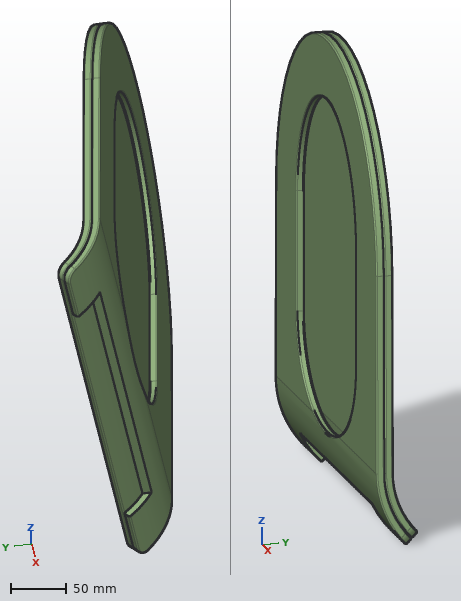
import cadquery as cq
import math


CROWN_RADIUS = 177.5
CROWN_TOP = 360.0
SIDE_TILT = math.radians(0.5)
CORNER_RADIUS = 10.7

TOTAL_THICKNESS = 15.5
GAP = 0.5
PLATE = (TOTAL_THICKNESS - GAP) / 2
EDGE_FILLET = 1.5

BEND_RADIUS = 96.5
BEND_ANGLE = math.radians(46.1)

OPENING_HALF_WIDTH = 105.0
OPENING_TOP = 303.5
OPENING_CROWN_HEIGHT = 112.5
OPENING_BOTTOM = -7.5
OPENING_BASE_HEIGHT = 86.0

NOTCH_WIDTH = 255.0
NOTCH_TOP = -41.5

CLEARANCE = 21.5
SAME_PLACE = 4.29e-06
RIM_MIN_LENGTH = 1.1 * PLATE


def bend_point(depth, angle):
    """(Y, Z) of a point on the bend, at a depth behind the seat front."""
    radius = BEND_RADIUS - depth
    return (BEND_RADIUS - radius * math.cos(angle), -radius * math.sin(angle))


def bent_sheet(front, back):
    """Wide sheet between two depths: flat above the bend, radial at its end."""
    half_width = CROWN_RADIUS + CLEARANCE
    return (
        cq.Workplane("YZ", origin=(-half_width, 0, 0))
        .moveTo(front, CROWN_TOP + CLEARANCE)
        .lineTo(front, 0)
        .threePointArc(bend_point(front, BEND_ANGLE / 2), bend_point(front, BEND_ANGLE))
        .lineTo(*bend_point(back, BEND_ANGLE))
        .threePointArc(bend_point(back, BEND_ANGLE / 2), (back, 0))
        .lineTo(back, CROWN_TOP + CLEARANCE)
        .close()
        .extrude(2 * half_width)
    )


def outline_prism():
    """Round-topped outline, with sides tangent to the crown, extended along Y."""
    center_z = CROWN_TOP - CROWN_RADIUS
    bottom = -BEND_RADIUS
    tangent_x = CROWN_RADIUS * math.cos(SIDE_TILT)
    tangent_z = center_z + CROWN_RADIUS * math.sin(SIDE_TILT)
    bottom_x = tangent_x + (tangent_z - bottom) * math.tan(SIDE_TILT)
    return (
        cq.Workplane("XZ", origin=(0, -CLEARANCE, 0))
        .moveTo(-bottom_x, bottom)
        .lineTo(-tangent_x, tangent_z)
        .threePointArc((0, CROWN_TOP), (tangent_x, tangent_z))
        .lineTo(bottom_x, bottom)
        .close()
        .extrude(-(BEND_RADIUS + CLEARANCE))
    )


def opening_cutter(depth):
    """Oval made of two half ellipses joined by straight sides."""
    crown_z = OPENING_TOP - OPENING_CROWN_HEIGHT
    base_z = OPENING_BOTTOM + OPENING_BASE_HEIGHT
    length = depth + 2 * CLEARANCE

    def oval_end(z, height):
        return (
            cq.Workplane("XZ", origin=(0, -CLEARANCE, z))
            .ellipse(OPENING_HALF_WIDTH, height)
            .extrude(-length)
        )

    def slab(low, high):
        return (
            cq.Workplane("XZ", origin=(0, -CLEARANCE, (low + high) / 2))
            .rect(2 * OPENING_HALF_WIDTH, high - low)
            .extrude(-length)
        )

    crown = oval_end(crown_z, OPENING_CROWN_HEIGHT).intersect(slab(crown_z, OPENING_TOP))
    base = oval_end(base_z, OPENING_BASE_HEIGHT).intersect(slab(OPENING_BOTTOM, base_z))
    return crown.union(slab(base_z, crown_z)).union(base)


def round_corners(plate):
    """Round the two corners at the bent end."""
    corners = [
        edge for edge in plate.faces("<Z").edges().vals()
        if abs(edge.Center().x) > CROWN_RADIUS / 2
    ]
    return plate.newObject(corners).fillet(CORNER_RADIUS)


def round_rims(plate):
    """Round the rims of both skins, leaving the bend lines and the edges across the thickness."""
    rims = [
        edge for edge in plate.edges().vals()
        if edge.Length() > RIM_MIN_LENGTH and abs(edge.Center().z) > SAME_PLACE
    ]
    return plate.newObject(rims).fillet(EDGE_FILLET)


def bent_plate(front):
    """Plate with the shared outline, starting at the given depth."""
    return round_corners(bent_sheet(front, front + PLATE).intersect(outline_prism()))


def make_seat():
    ring = round_rims(bent_plate(0).cut(opening_cutter(PLATE)))
    notch = cq.Workplane("XY", origin=(0, 0, NOTCH_TOP - BEND_RADIUS)).box(
        NOTCH_WIDTH, 2 * BEND_RADIUS, BEND_RADIUS, centered=(True, True, False)
    )
    return ring.cut(notch)


def make_lid():
    return round_rims(bent_plate(PLATE + GAP))


seat = make_seat()
lid = make_lid()
result = cq.Compound.makeCompound([seat.solids().val(), lid.solids().val()])